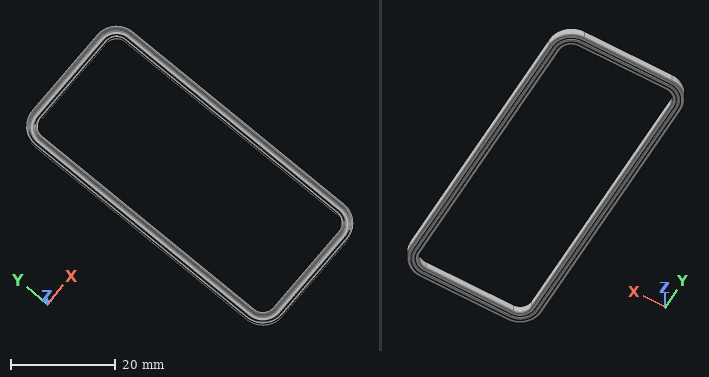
import cadquery as cq
import math

draft = math.radians(4)

rim_width = 0.62
groove_width = 1.25
groove_depth = 1.4
groove_fillet = 0.25

height = 2.7
length = 63.0
width = 29.5
wall = groove_width + 2 * rim_width
corner_radius = 2 * wall

tongue_height = 0.285
tongue_inset = 0.8
tongue_fillet = 0.22
bottom_fillet = 0.2

pick_margin = 0.005

groove_floor = height - groove_depth
groove_floor_inset = rim_width + groove_depth * math.tan(draft)
tongue_tip_inset = tongue_inset + tongue_height * math.tan(draft)


def round_corner_pair(profile, inset, z, radius):
    """Fillet the two profile corners at height z that lie at the inset from either wall face."""
    for x in (inset, wall - inset):
        around_corner = cq.selectors.BoxSelector(
            (x - pick_margin, z - pick_margin, -pick_margin),
            (x + pick_margin, z + pick_margin, pick_margin),
        )
        profile = profile.vertices(around_corner).fillet(radius).reset()
    return profile


def wall_profile():
    """Cross-section of the wall: first coordinate inward from the outer face, second upward."""
    outer_half = [
        (tongue_tip_inset, 0),
        (tongue_inset, tongue_height),
        (0, tongue_height),
        (0, height),
        (rim_width, height),
        (groove_floor_inset, groove_floor),
    ]
    inner_half = [(wall - x, z) for x, z in reversed(outer_half)]
    outline = outer_half + inner_half
    profile = cq.Sketch().polygon(outline + outline[:1])
    profile = round_corner_pair(profile, rim_width, height, groove_fillet)
    profile = round_corner_pair(profile, groove_floor_inset, groove_floor, groove_fillet)
    profile = round_corner_pair(profile, tongue_tip_inset, 0, tongue_fillet)
    return round_corner_pair(profile, 0, tongue_height, bottom_fillet)


def outer_outline():
    """Closed outline of the frame's outer face, used as the path of the wall profile."""
    block = cq.Workplane("XY").rect(width, length).extrude(height)
    return block.edges("|Z").fillet(corner_radius).faces("<Z").wires()


profile_plane = cq.Workplane("XZ", origin=(-width / 2, 0, 0))
result = profile_plane.placeSketch(wall_profile()).sweep(outer_outline())